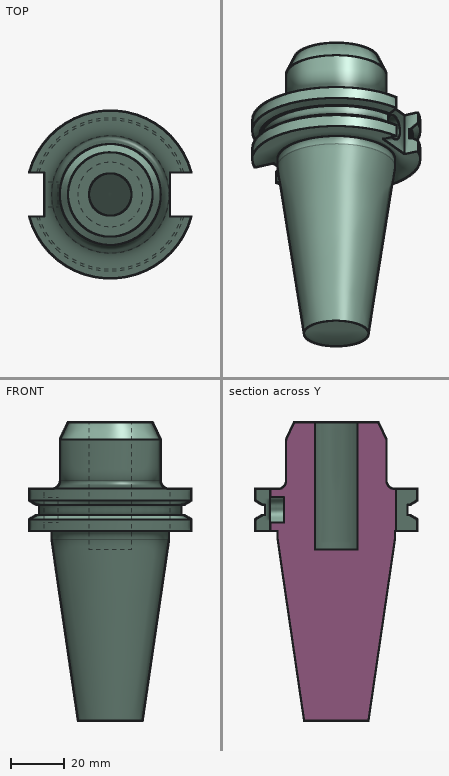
import cadquery as cq

total_height = 112.7
gauge_height = 68.4
flange_bottom = 71.6
flange_top = 87.6
shoulder_chamfer_height = 6.5

flange_radius = 63.5 / 2
taper_large_radius = 44.4 / 2
taper_per_length = 7 / 24
taper_small_radius = taper_large_radius - gauge_height * taper_per_length / 2
nose_radius = 38.1 / 2
nose_tip_radius = 31.9 / 2
nose_fillet = 3.0

groove_floor_radius = 56.4 / 2
groove_ledge_radius = 29.0
groove_floor_width = 3.7
groove_mouth_width = 7.1
groove_center = (flange_bottom + flange_top) / 2

slot_width = 16.5
slot_floor_left = 24.9
slot_floor_right = 22.5

bore_diameter = 16.0
bore_depth = 48.0
side_hole_diameter = 9.5
side_hole_depth = 5.2


def turned_body():
    """Taper, grooved flange and nose revolved about Z."""
    half_floor = groove_floor_width / 2
    half_mouth = groove_mouth_width / 2
    fillet_center = (nose_radius + nose_fillet, flange_top + nose_fillet)
    fillet_reach = nose_fillet * 0.5 ** 0.5
    fillet_middle = (fillet_center[0] - fillet_reach, fillet_center[1] - fillet_reach)
    profile = (
        cq.Workplane("XZ")
        .lineTo(taper_small_radius, 0)
        .lineTo(taper_large_radius, gauge_height)
        .lineTo(taper_large_radius, flange_bottom)
        .lineTo(flange_radius, flange_bottom)
        .lineTo(flange_radius, groove_center - half_mouth)
        .lineTo(groove_ledge_radius, groove_center - half_floor)
        .lineTo(groove_floor_radius, groove_center - half_floor)
        .lineTo(groove_floor_radius, groove_center + half_floor)
        .lineTo(groove_ledge_radius, groove_center + half_floor)
        .lineTo(flange_radius, groove_center + half_mouth)
        .lineTo(flange_radius, flange_top)
        .lineTo(fillet_center[0], flange_top)
        .threePointArc(fillet_middle, (nose_radius, fillet_center[1]))
        .lineTo(nose_radius, total_height - shoulder_chamfer_height)
        .lineTo(nose_tip_radius, total_height)
        .lineTo(0, total_height)
        .close()
    )
    return profile.revolve(360, (0, 0, 0), (0, 1, 0))


def drive_slot(side, floor_distance):
    """Cutter for a slot through the flange; side is -1 or +1 along X."""
    center_x = side * (floor_distance + flange_radius / 2)
    slot_height = flange_top - flange_bottom
    return cq.Workplane("XY").box(flange_radius, slot_width, slot_height).translate(
        (center_x, 0, groove_center)
    )


def tool_bore():
    """Blind bore from the nose face."""
    bore = cq.Workplane("XY").circle(bore_diameter / 2).extrude(bore_depth)
    return bore.translate((0, 0, total_height - bore_depth))


def side_hole():
    """Blind radial hole in the floor of the -X slot."""
    return (
        cq.Workplane("YZ", origin=(-slot_floor_left, 0, 0))
        .center(0, groove_center)
        .circle(side_hole_diameter / 2)
        .extrude(side_hole_depth)
    )


result = (
    turned_body()
    .cut(drive_slot(-1, slot_floor_left))
    .cut(drive_slot(1, slot_floor_right))
    .cut(tool_bore())
    .cut(side_hole())
)